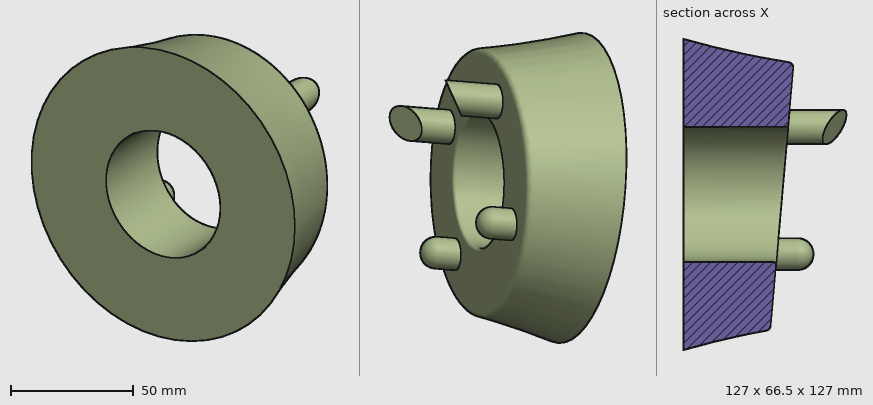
import cadquery as cq
import math

base_radius = 63.5
bore_radius = 27.5

flank_length = 50.0
flank_mid_radius = 57.3
flank_end_radius = 53.0

back_depth = 40.35
back_tilt = 5.0
outer_rim_fillet = 2.5
bore_rim_fillet = 1.25

slant_pin_radius = 7.0
slant_pin_x = 27.0
slant_pin_z = 27.5
slant_pin_tip = 66.5
slant_angle = 35.0

ball_pin_radius = 6.55
ball_pin_x = 31.6
ball_pin_z = -24.3
ball_pin_tip = 53.1

pin_root = back_depth / 2
cutter_size = 4 * base_radius


def half_space(origin, normal):
    """A large block filling the side of a plane that its normal points to."""
    plane = cq.Plane(origin=origin, xDir=(normal[1], -normal[0], 0), normal=normal)
    return cq.Workplane(plane).rect(cutter_size, cutter_size).extrude(cutter_size)


def rod(x, z, radius, tip):
    """A round rod along +Y from inside the ring to the given depth."""
    plane = cq.Plane(origin=(x, pin_root, z), xDir=(1, 0, 0), normal=(0, 1, 0))
    return cq.Workplane(plane).circle(radius).extrude(tip - pin_root)


def ring():
    flank_mid = (flank_mid_radius, flank_length / 2)
    flank_end = (flank_end_radius, flank_length)
    body = (
        cq.Workplane("XY")
        .moveTo(0, 0)
        .lineTo(base_radius, 0)
        .threePointArc(flank_mid, flank_end)
        .lineTo(0, flank_length)
        .close()
        .revolve(360, (0, 0, 0), (0, 1, 0))
    )
    tilt = math.radians(back_tilt)
    back_normal = (0, math.cos(tilt), -math.sin(tilt))
    body = body.cut(half_space((0, back_depth, 0), back_normal))
    back_face = cq.selectors.DirectionMinMaxSelector(cq.Vector(*back_normal))
    body = body.faces(back_face).edges().fillet(outer_rim_fillet)
    bore = cq.Workplane("XZ").circle(bore_radius).extrude(-flank_length)
    body = body.cut(bore)
    bore_rim = cq.selectors.LengthNthSelector(0)
    return body.faces(back_face).edges(bore_rim).fillet(bore_rim_fillet)


def slant_pin(side):
    """Pin whose tip plane faces the ring axis and slopes down towards it."""
    x = side * slant_pin_x
    pin = rod(x, slant_pin_z, slant_pin_radius, slant_pin_tip)
    slant = math.radians(slant_angle)
    tip_drop = slant_pin_radius * math.tan(slant)
    inward = math.sin(slant) / math.sqrt(2)
    tip_normal = (-side * inward, math.cos(slant), -inward)
    return pin.cut(half_space((x, slant_pin_tip - tip_drop, slant_pin_z), tip_normal))


def ball_pin(side):
    x = side * ball_pin_x
    ball_center = ball_pin_tip - ball_pin_radius
    shank = rod(x, ball_pin_z, ball_pin_radius, ball_center)
    ball = cq.Workplane("XY").sphere(ball_pin_radius).translate((x, ball_center, ball_pin_z))
    return shank.union(ball)


result = ring()
for side in (-1, 1):
    result = result.union(slant_pin(side)).union(ball_pin(side))